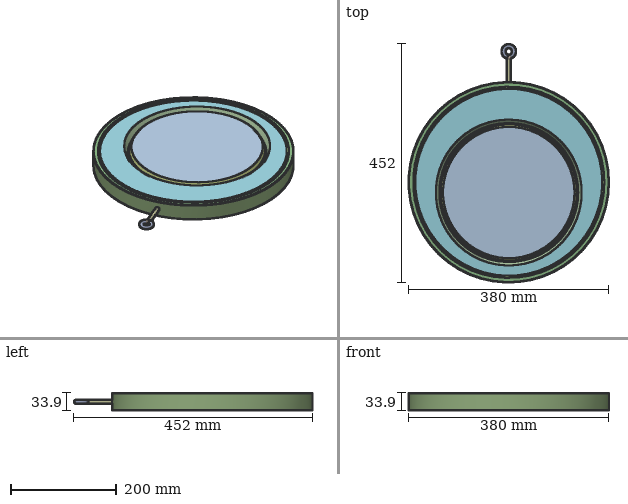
import cadquery as cq
import math

body_diameter = 380.0
body_height = 32.5
rim_chamfer = 1.0
body_radius = body_diameter / 2
half_height = body_height / 2

seal_section_diameter = 7.0
seal_circle_diameter = 358.5
seal_projection = 0.7

recess_offset_y = -19.5
recess_top_diameter = 276.5
recess_floor_diameter = 263.5
recess_depth = half_height

flap_diameter = 258.0
flap_top_diameter = 249.0
flap_top_gap = 2.0
flap_taper_height = 8.0
flap_straight_height = recess_depth - flap_top_gap - flap_taper_height

overall_length = 452
rod_diameter = 8.0
rod_root_depth = 4.5
eye_circle_radius = 10.0
eye_bend_radius = 6.5
eye_end_angle = 12
eye_center_y = overall_length - body_radius - eye_circle_radius - rod_diameter / 2


def cone_frustum(base_diameter, top_diameter, base_z, height):
    """Frustum centred on the recess axis, standing on the level base_z."""
    return (
        cq.Workplane("XY", origin=(0, recess_offset_y, base_z))
        .circle(base_diameter / 2)
        .workplane(offset=height)
        .circle(top_diameter / 2)
        .loft()
    )


def make_body():
    plate = cq.Workplane("XY", origin=(0, 0, -half_height)).circle(body_radius).extrude(body_height)
    plate = plate.edges("%CIRCLE").chamfer(rim_chamfer)
    recess_floor_z = half_height - recess_depth
    recess = cone_frustum(recess_floor_diameter, recess_top_diameter, recess_floor_z, recess_depth)
    taper_z = recess_floor_z + flap_straight_height
    flap_base = (
        cq.Workplane("XY", origin=(0, recess_offset_y, recess_floor_z))
        .circle(flap_diameter / 2)
        .extrude(flap_straight_height)
    )
    flap_taper = cone_frustum(flap_diameter, flap_top_diameter, taper_z, flap_taper_height)
    body = plate.cut(recess).union(flap_base).union(flap_taper)
    seal_z = half_height + seal_projection - seal_section_diameter / 2
    for side in (1, -1):
        torus = cq.Solid.makeTorus(seal_circle_diameter / 2, seal_section_diameter / 2)
        body = body.union(cq.Workplane(torus).translate((0, 0, side * seal_z)))
    return body


def make_eye_rod():
    """Rod and bend share one path, whose arc meets the ring's centre circle tangentially."""
    center_distance = eye_circle_radius + eye_bend_radius
    bend_start_y = eye_center_y - math.sqrt(center_distance**2 - eye_bend_radius**2)
    bend_angle = math.acos(eye_bend_radius / center_distance)

    def bend_point(angle):
        return (
            eye_bend_radius * (1 - math.cos(angle)),
            bend_start_y + eye_bend_radius * math.sin(angle),
        )

    rod_start_y = body_radius - rod_root_depth
    path = (
        cq.Workplane("XY")
        .moveTo(0, rod_start_y)
        .lineTo(0, bend_start_y)
        .threePointArc(bend_point(bend_angle / 2), bend_point(bend_angle))
    )
    rod = cq.Workplane("XZ", origin=(0, rod_start_y, 0)).circle(rod_diameter / 2).sweep(path)

    ring_start_angle = 90 - math.degrees(bend_angle)
    ring_sweep_angle = 360 - ring_start_angle - eye_end_angle
    eye = (
        cq.Workplane("YZ")
        .center(-eye_circle_radius, 0)
        .circle(rod_diameter / 2)
        .revolve(ring_sweep_angle, (eye_circle_radius, 0), (eye_circle_radius, 1))
        .rotate((0, 0, 0), (0, 0, 1), ring_start_angle)
        .translate((0, eye_center_y, 0))
    )
    return rod.union(eye)


result = make_body().union(make_eye_rod())